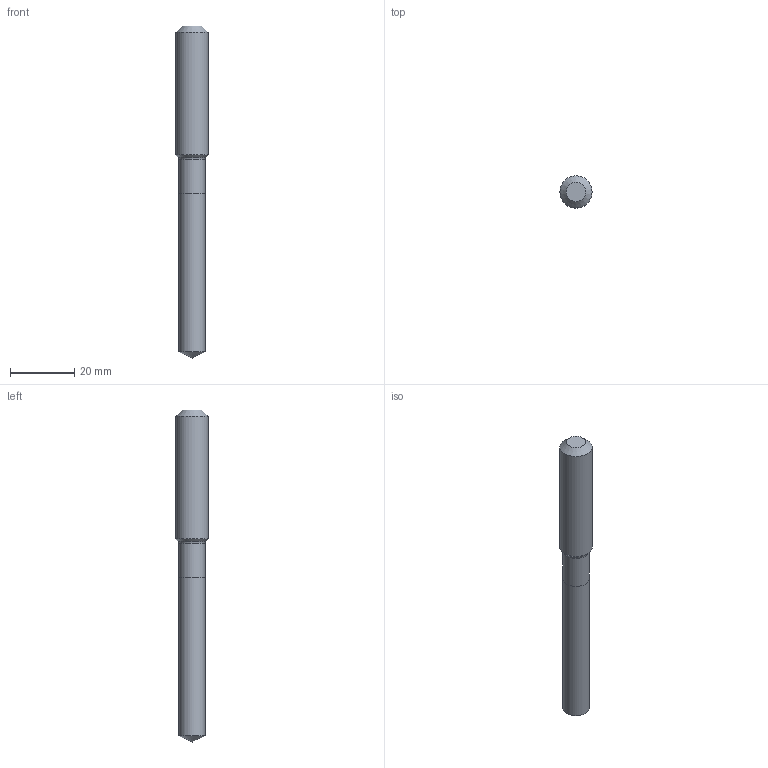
import cadquery as cq
import math

overall_length = 103.0
shank_length = 40.0
cutting_length = 51.0

shank_diameter = 10.0
drill_diameter = 8.1

shank_end_chamfer = 2.0
point_angle = 130.0
shoulder_angle = 45.0
shoulder_fillet_radius = 1.0

shank_radius = shank_diameter / 2
drill_radius = drill_diameter / 2
point_height = drill_radius / math.tan(math.radians(point_angle / 2))
shank_bottom = overall_length - shank_length

shoulder_slope = math.radians(shoulder_angle)
shoulder_bottom = shank_bottom - (shank_radius - drill_radius) / math.tan(shoulder_slope)
fillet_center_r = drill_radius + shoulder_fillet_radius
fillet_center_z = shoulder_bottom - shoulder_fillet_radius * math.tan(shoulder_slope / 2)


def fillet_point(angle):
    """Point (radius, height) on the fillet, turned by angle from its tangency with the neck."""
    return (
        fillet_center_r - shoulder_fillet_radius * math.cos(angle),
        fillet_center_z + shoulder_fillet_radius * math.sin(angle),
    )


def revolve_about_axis(profile):
    """Full turn of a half profile (radius, height) about the drill axis."""
    return profile.close().revolve(360, (0, 0), (0, 1))


def cutting_part():
    """Cylindrical cutting length ending in a conical drill point."""
    profile = (
        cq.Workplane("YZ")
        .moveTo(0, 0)
        .lineTo(drill_radius, point_height)
        .lineTo(drill_radius, cutting_length)
        .lineTo(0, cutting_length)
    )
    return revolve_about_axis(profile)


def shank():
    """Chamfered shank with a filleted conical shoulder down to a neck of drill diameter."""
    profile = (
        cq.Workplane("YZ")
        .moveTo(0, cutting_length)
        .lineTo(drill_radius, cutting_length)
        .lineTo(*fillet_point(0))
        .threePointArc(fillet_point(shoulder_slope / 2), fillet_point(shoulder_slope))
        .lineTo(shank_radius, shank_bottom)
        .lineTo(shank_radius, overall_length - shank_end_chamfer)
        .lineTo(shank_radius - shank_end_chamfer, overall_length)
        .lineTo(0, overall_length)
    )
    return revolve_about_axis(profile)


result = cq.Compound.makeCompound([cutting_part().val(), shank().val()])